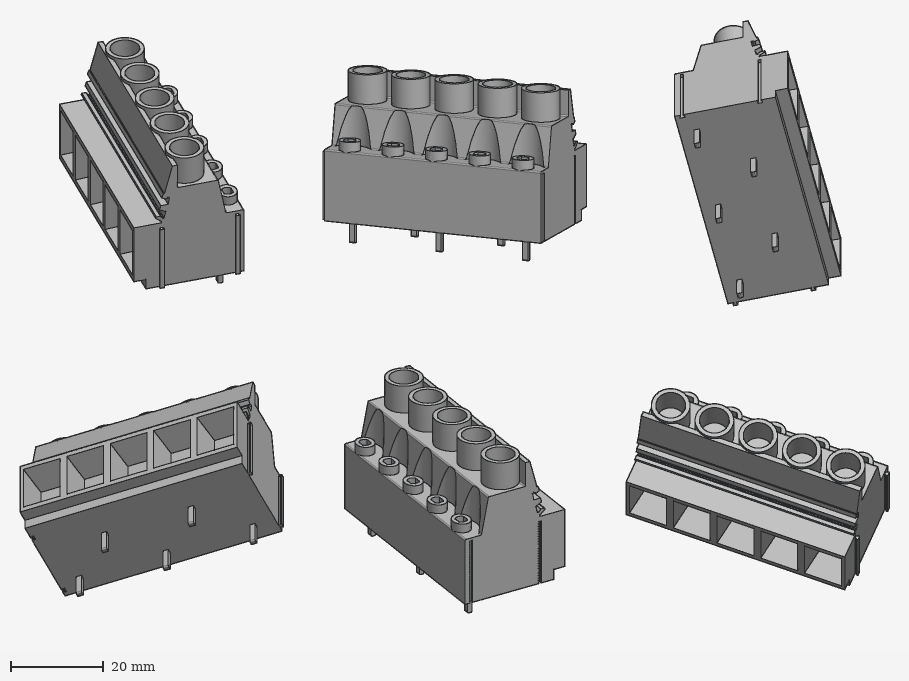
import cadquery as cq


overall_length = 51.6
pole_count = 5
pitch = 10.15
housing_length = pole_count * pitch
pole_centers = [(i + 0.5) * pitch for i in range(pole_count)]

depth = 25.1
foot_step_depth = 2.75
foot_step_height = 2.4
front_block_height = 16.4
ledge_height = 15.9
slope_bottom_y = 20.95
slope_top_y = 19.2
shelf_height = 24.75
wall_back_y = 9.9
wall_front_y = 8.75
wall_height = 30.6
edge_radius = 0.3

tube_diameter = 8.35
tube_bore = 6.4
tube_center_y = 13.2
tube_top = 31.3

boss_length = 4.8
boss_width = 4.2
boss_center_y = depth - boss_width / 2
boss_height = 2.1
test_hole_diameter = 2.7
test_hole_flats = 2.1
scallop_radius = 5.3
scallop_center_y = 24.4

entry_width = 8.55
entry_bottom = 3.65
entry_top = 15.15
entry_height = entry_top - entry_bottom
entry_depth = 6.7
entry_inset = 1.3

rib_projection = overall_length - housing_length
rib_neck = 0.6
rib_tip = 1.05
rib_neck_length = 0.25
rib_shoulder = 0.45
rib_height = entry_top
rib_centers_y = [6.25, 23.5]

pin_width = 1.25
pin_thickness = 1.2
pin_length = 5.15
pin_tip_radius = 0.35
front_row_y = 11.05
pin_rows_y = [front_row_y + pitch, front_row_y]


def make_profile_body():
    """Stepped cross-section with the toothed front of the wall, extruded along the row."""
    outline = [
        (foot_step_depth, 0),
        (depth, 0),
        (depth, ledge_height),
        (slope_bottom_y, ledge_height),
        (slope_top_y, shelf_height),
        (wall_back_y, shelf_height),
        (wall_back_y, wall_height),
        (wall_front_y, wall_height),
        (6.95, 23.85),
        (6.7, 23.85),
        (6.35, 22.85),
        (7.2, 22.35),
        (7.8, 22.7),
        (8.1, 22.5),
        (7.8, 20.9),
        (6.15, 20.9),
        (5.85, 19.9),
        (7.3, 19.1),
        (6.85, 17.55),
        (6.6, 17.5),
        (6.05, 18.15),
        (5.1, 18.15),
        (4.95, 17.85),
        (6.25, 16.75),
        (6.3, front_block_height),
        (0, front_block_height),
        (0, foot_step_height),
        (foot_step_depth, foot_step_height),
    ]
    body = cq.Workplane("YZ").polyline(outline).close().extrude(housing_length)
    rounded_corners = [
        (depth, ledge_height),
        (slope_bottom_y, ledge_height),
        (slope_top_y, shelf_height),
        (wall_back_y, shelf_height),
    ]
    for y, z in rounded_corners:
        corner = cq.selectors.NearestToPointSelector((housing_length / 2, y, z))
        body = body.edges("|X").edges(corner).fillet(edge_radius)
    return body


def make_tube_cylinder(x, diameter):
    """Upright cylinder on the shelf: the outside of a tube, or its bore."""
    return (
        cq.Workplane("XY", origin=(x, tube_center_y, shelf_height))
        .circle(diameter / 2)
        .extrude(tube_top - shelf_height)
    )


def make_scallop(x):
    """Vertical clearance in the rear slope around a test-point boss."""
    return (
        cq.Workplane("XY", origin=(x, scallop_center_y, ledge_height))
        .circle(scallop_radius)
        .extrude(shelf_height - ledge_height)
    )


def make_boss(x):
    """Oval boss, started just below the ledge so that it meets the rounded ledge edge."""
    return (
        cq.Workplane("XY", origin=(x, boss_center_y, ledge_height - edge_radius))
        .ellipse(boss_length / 2, boss_width / 2)
        .extrude(edge_radius + boss_height)
    )


def make_test_hole(x):
    """Round hole with two flats, open at the top of the boss."""
    origin = (x, boss_center_y, ledge_height)
    round_hole = cq.Workplane("XY", origin=origin).circle(test_hole_diameter / 2).extrude(boss_height)
    flats = cq.Workplane("XY", origin=origin).rect(test_hole_diameter, test_hole_flats).extrude(boss_height)
    return round_hole.intersect(flats)


def make_wire_entry(x):
    """Funnel that narrows by the same inset on all four sides."""
    return (
        cq.Workplane("XZ", origin=(x, 0, entry_bottom + entry_height / 2))
        .rect(entry_width, entry_height)
        .workplane(offset=-entry_depth)
        .rect(entry_width - 2 * entry_inset, entry_height - 2 * entry_inset)
        .loft(ruled=True)
    )


def make_rib(x, y):
    """Upright bar with a flared head, its neck starting on the plane X = x."""
    half_profile = [
        (x, rib_neck / 2),
        (x + rib_neck_length, rib_neck / 2),
        (x + rib_shoulder, rib_tip / 2),
        (x + rib_projection, rib_tip / 2),
    ]
    far_side = [(px, y + half_width) for px, half_width in half_profile]
    near_side = [(px, y - half_width) for px, half_width in reversed(half_profile)]
    outline = far_side + near_side
    return cq.Workplane("XY").polyline(outline).close().extrude(rib_height)


def make_pin(x, y):
    """Pin that hangs from the housing underside, its tip rounded front and back."""
    return (
        cq.Workplane("XY", origin=(x, y, 0))
        .rect(pin_width, pin_thickness)
        .extrude(-pin_length)
        .faces("<Z")
        .edges("|X")
        .fillet(pin_tip_radius)
    )


def make_housing():
    """Profile body with the features of every pole, then the ribs and grooves of its ends."""
    housing = make_profile_body()
    for x in pole_centers:
        housing = housing.cut(make_scallop(x))
    for x in pole_centers:
        housing = housing.union(make_tube_cylinder(x, tube_diameter))
        housing = housing.cut(make_tube_cylinder(x, tube_bore))
        housing = housing.union(make_boss(x)).cut(make_test_hole(x))
        housing = housing.cut(make_wire_entry(x))
    for y in rib_centers_y:
        housing = housing.union(make_rib(housing_length, y))
        housing = housing.cut(make_rib(0, y))
    return housing


housing = make_housing()
pins = [make_pin(x, pin_rows_y[i % len(pin_rows_y)]) for i, x in enumerate(pole_centers)]

result = cq.Compound.makeCompound([*housing.solids().vals(), *[pin.val() for pin in pins]])